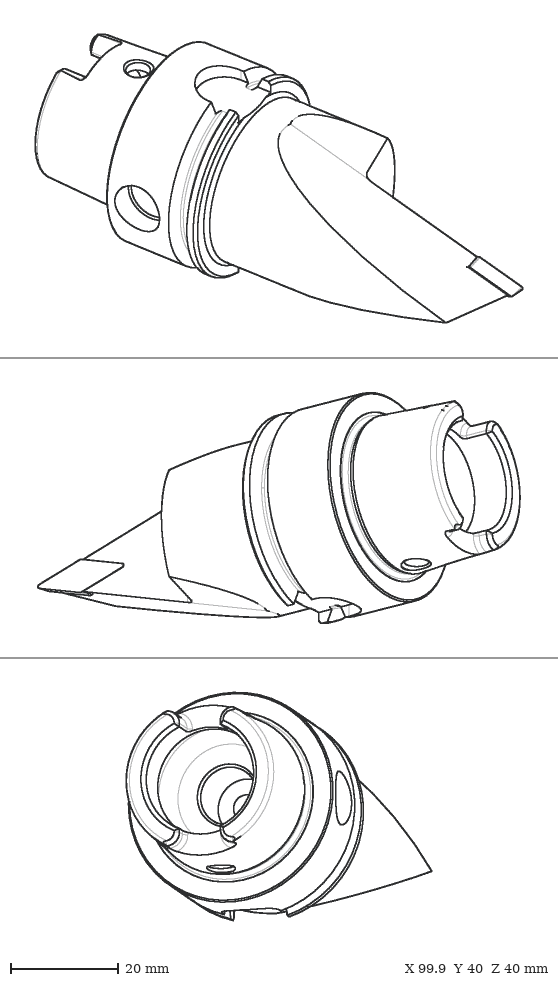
import cadquery as cq
import math

length = 99.9
flange_r = 20.0
shank_r = 16.5

taper_front_r = 14.4
taper_back_r = 15.2
taper_end_x = 17.8
neck_r = 29.7 / 2
neck_start_x = 18.6
neck_fillet = 0.8
edge_break = 0.8

flange_x = 19.9
flange_end_x = 40.0
flange_front_chamfer = 0.3
flange_back_chamfer = 0.6
face_recess_r = 16.2
face_recess_depth = 0.1
groove_start_x = 33.9
groove_end_x = 38.0
groove_r = 17.4
groove_wall_angle = 25.0
groove_wall_run = (flange_r - groove_r) * math.tan(math.radians(groove_wall_angle))
groove_fillet = 0.5
collar_r = 17.3
collar_run = collar_r - shank_r

bore_r = 21.0 / 2
undercut_r = 25.5 / 2
undercut_x = 8.0
undercut_fillet = 2.9
bore_floor_x = 18.5
thread_r = 11.0 / 2
thread_chamfer = 0.5
thread_end_x = 30.0
pilot_r = 5.0 / 2
pilot_end_x = 36.0
drill_tip_half_angle = 70.0

keyway_half_width = 4.0
keyway_shoulder_z = 12.9
keyway_round = 2.5
keyway_floor_fillet = 0.8
top_keyway_depth = 6.2
bottom_keyway_depth = 3.3

cross_hole_d = 4.6
cross_hole_x = 13.9
cross_hole_chamfer = 0.6

pocket_width = 11.0
pocket_floor_z = 16.9
pocket_round_x = 33.2
chip_hole_d = 10.0
chip_hole_x = 26.9
chip_hole_depth = 5.0
chip_hole_chamfer = 0.4

point_half_angle = 17.6
relief_slope = 0.38
face_y = -0.1
step_foot_x = 64.5
step_angle = 14.0
step_fillet = 2.0

insert_half_angle = 17.5
insert_incircle_r = 6.4 / 2
insert_thickness = 3.2
insert_corner_r = 0.4
insert_clearance_angle = 7.0

half_way = math.sqrt(0.5)


def turned_body():
    """Taper, neck, flange and collar, as one turned shape."""
    recess_x = flange_x + face_recess_depth
    neck_end_x = recess_x - neck_fillet
    neck_top_r = neck_r + neck_fillet
    profile = (
        cq.Workplane("XY")
        .moveTo(0, 0)
        .lineTo(0, taper_front_r - edge_break)
        .threePointArc(
            (edge_break * (1 - half_way), taper_front_r - edge_break * (1 - half_way)),
            (edge_break, taper_front_r),
        )
        .lineTo(taper_end_x, taper_back_r)
        .lineTo(neck_start_x, neck_r)
        .lineTo(neck_end_x, neck_r)
        .threePointArc(
            (neck_end_x + neck_fillet * half_way, neck_top_r - neck_fillet * half_way),
            (recess_x, neck_top_r),
        )
        .lineTo(recess_x, face_recess_r)
        .lineTo(flange_x, face_recess_r)
        .lineTo(flange_x, flange_r - flange_front_chamfer)
        .lineTo(flange_x + flange_front_chamfer, flange_r)
        .lineTo(flange_end_x - flange_back_chamfer, flange_r)
        .lineTo(flange_end_x, flange_r - flange_back_chamfer)
        .lineTo(flange_end_x, collar_r)
        .lineTo(flange_end_x + collar_run, shank_r)
        .lineTo(flange_end_x + collar_run, 0)
        .close()
    )
    return profile.revolve(360, (0, 0, 0), (1, 0, 0))


def gripper_groove():
    """V-shaped ring around the flange with a narrow floor and filleted floor corners."""
    profile = (
        cq.Workplane("XY")
        .moveTo(groove_start_x, flange_r)
        .lineTo(groove_start_x + groove_wall_run, groove_r)
        .lineTo(groove_end_x - groove_wall_run, groove_r)
        .lineTo(groove_end_x, flange_r)
        .close()
    )
    ring = profile.revolve(360, (0, 0, 0), (1, 0, 0))
    floor_edges = ring.edges(cq.selectors.RadiusNthSelector(0))
    return floor_edges.fillet(groove_fillet)


def clamping_bore():
    """Stepped bore: gripping land, undercut, floor, threaded hole and drilled pilot."""
    tip_x = pilot_end_x + pilot_r / math.tan(math.radians(drill_tip_half_angle))
    profile = (
        cq.Workplane("XY")
        .moveTo(0, 0)
        .lineTo(0, bore_r + edge_break)
        .lineTo(edge_break, bore_r)
        .lineTo(undercut_x, bore_r)
        .lineTo(undercut_x, undercut_r)
        .lineTo(bore_floor_x - undercut_fillet, undercut_r)
        .threePointArc(
            (
                bore_floor_x - undercut_fillet * (1 - half_way),
                undercut_r - undercut_fillet * (1 - half_way),
            ),
            (bore_floor_x, undercut_r - undercut_fillet),
        )
        .lineTo(bore_floor_x, thread_r + thread_chamfer)
        .lineTo(bore_floor_x + thread_chamfer, thread_r)
        .lineTo(thread_end_x, thread_r)
        .lineTo(thread_end_x, pilot_r)
        .lineTo(pilot_end_x, pilot_r)
        .lineTo(tip_x, 0)
        .close()
    )
    return profile.revolve(360, (0, 0, 0), (1, 0, 0))


def keyway_outline(plane, inset):
    """Slot outline with flanks rounded outwards to flat shoulders, widened into the lugs by inset."""
    half_width = keyway_half_width + inset
    round_r = keyway_round - inset
    mouth_y = half_width + round_r
    shoulder_z = keyway_shoulder_z - inset
    low_z = shoulder_z - round_r
    arc_y = mouth_y - round_r * half_way
    arc_z = low_z + round_r * half_way
    outer_y = 2 * keyway_half_width
    return (
        plane.moveTo(-half_width, 0)
        .lineTo(half_width, 0)
        .lineTo(half_width, low_z)
        .threePointArc((arc_y, arc_z), (mouth_y, shoulder_z))
        .lineTo(outer_y, shoulder_z)
        .lineTo(outer_y, flange_r)
        .lineTo(-outer_y, flange_r)
        .lineTo(-outer_y, shoulder_z)
        .lineTo(-mouth_y, shoulder_z)
        .threePointArc((-arc_y, arc_z), (-half_width, low_z))
        .close()
    )


def keyway(depth, side):
    """Keyway with a rounded floor and chamfered mouth; side is +1 for the top, -1 for the bottom."""
    slot = keyway_outline(cq.Workplane("YZ"), 0).extrude(depth)
    slot = slot.faces(">X").edges().fillet(keyway_floor_fillet)
    mouth = keyway_outline(cq.Workplane("YZ"), edge_break).workplane(offset=edge_break)
    mouth = keyway_outline(mouth, 0).loft(ruled=True)
    cutter = slot.union(mouth)
    if side < 0:
        cutter = cutter.mirror("XY")
    return cutter


def cross_hole():
    """Radial hole through the taper along Z, chamfered at both outer ends."""
    hole_r = cross_hole_d / 2
    taper_r = taper_front_r + (taper_back_r - taper_front_r) * cross_hole_x / taper_end_x
    rim_r = hole_r + cross_hole_chamfer
    profile = (
        cq.Workplane("XZ")
        .moveTo(0, 0)
        .lineTo(hole_r, 0)
        .lineTo(hole_r, taper_r - cross_hole_chamfer)
        .lineTo(rim_r, taper_r)
        .lineTo(rim_r, flange_r)
        .lineTo(0, flange_r)
        .close()
    )
    half = profile.revolve(360, (0, 0, 0), (0, 1, 0)).translate((cross_hole_x, 0, 0))
    return half.union(half.mirror("XY"))


def flange_pocket(side):
    """Round-ended pocket, open towards the shank, with a flat floor."""
    run = flange_end_x + collar_run - pocket_round_x
    pocket_depth = flange_r - pocket_floor_z
    floor = cq.Workplane("XY", origin=(pocket_round_x, 0, pocket_floor_z))
    round_end = floor.circle(pocket_width / 2).extrude(pocket_depth)
    straight = floor.rect(run, pocket_width, centered=(False, True)).extrude(pocket_depth)
    pocket = round_end.union(straight)
    if side < 0:
        pocket = pocket.mirror("XY")
    return pocket


def chip_hole():
    """Blind hole for the data chip in the -Y side of the flange."""
    hole = cq.Workplane("XZ", origin=(chip_hole_x, chip_hole_depth - flange_r, 0))
    hole = hole.circle(chip_hole_d / 2).extrude(chip_hole_depth)
    return hole.faces(">Y").edges().chamfer(chip_hole_chamfer)


def point_half(side):
    """Half of the pointed blade on one side of Y = 0; its point recedes away from Y = 0."""
    half_height = 2 * shank_r
    run = half_height / math.tan(math.radians(point_half_angle))

    def triangle(tip_x):
        back_x = tip_x - run
        return [(tip_x, 0), (back_x, half_height), (back_x, -half_height)]

    near = cq.Workplane("XZ").polyline(triangle(length)).close()
    far = near.workplane(offset=flange_r).polyline(triangle(length - relief_slope * flange_r)).close()
    half = far.loft(ruled=True)
    if side > 0:
        half = half.mirror("XZ")
    return half


def face_step():
    """Material removed above the cutting face, back to the sloping step."""
    rise = flange_r
    step = (
        cq.Workplane("XY", origin=(0, 0, -flange_r))
        .moveTo(length, face_y)
        .lineTo(step_foot_x, face_y)
        .lineTo(step_foot_x - rise * math.tan(math.radians(step_angle)), face_y + rise)
        .lineTo(length, face_y + rise)
        .close()
        .extrude(2 * flange_r)
    )
    return step.edges("|Z").edges("<Y").edges("<X").fillet(step_fillet)


def cutting_insert():
    """Rhombic insert with rounded corners; the sides lean in below the top face at Y = 0."""
    angle = math.radians(insert_half_angle)
    half_long = insert_incircle_r / math.sin(angle)
    half_short = insert_incircle_r / math.cos(angle)
    nose_gap = insert_corner_r / math.sin(angle) - insert_corner_r
    center_x = length - (half_long - nose_gap)
    corners = [(half_long, 0), (0, half_short), (-half_long, 0), (0, -half_short), (half_long, 0)]
    outline = cq.Sketch().polygon(corners).vertices().fillet(insert_corner_r)
    plane = cq.Workplane("XZ", origin=(center_x, 0, 0))
    return plane.placeSketch(outline).extrude(insert_thickness, taper=insert_clearance_angle)


def holder(insert):
    """Tool holder: clamping taper, flange and pointed shank with a seat for the insert."""
    body = turned_body().cut(gripper_groove()).cut(clamping_bore())
    body = body.cut(keyway(top_keyway_depth, 1)).cut(keyway(bottom_keyway_depth, -1))
    body = body.cut(cross_hole()).cut(chip_hole())
    for side in (1, -1):
        body = body.cut(flange_pocket(side))

    shank = cq.Workplane("YZ", origin=(flange_end_x, 0, 0))
    shank = shank.circle(shank_r).extrude(length - flange_end_x)
    shank = shank.intersect(point_half(1).union(point_half(-1)))
    shank = shank.cut(face_step())
    return body.union(shank).cut(insert)


insert = cutting_insert()
tool_holder = holder(insert)

result = cq.Compound.makeCompound([tool_holder.val(), insert.val()])